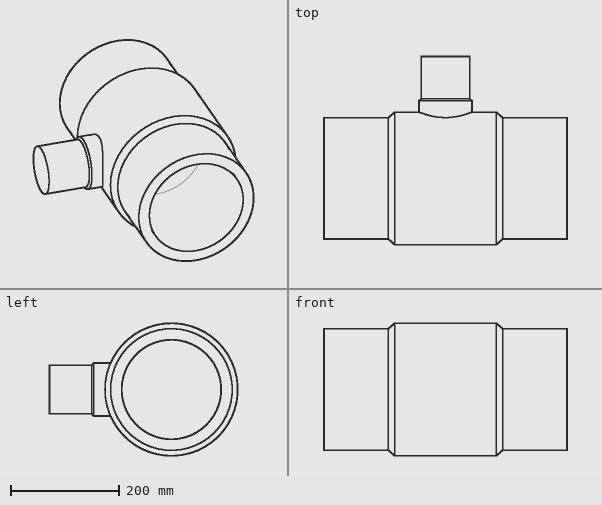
import cadquery as cq

pipe_length = 450.0
pipe_diameter = 225.0
bore_diameter = 183.5

sleeve_diameter = 245.5
sleeve_length = 211.0
sleeve_flat_length = 188.0

branch_diameter = 90.0
overall_depth = 348.8
branch_reach = overall_depth - sleeve_diameter / 2
collar_diameter = 98.5
collar_reach = 143.5
collar_taper_reach = 147.0


def make_run():
    """Solid of revolution about X: pipe and sleeve."""
    pipe_radius = pipe_diameter / 2
    sleeve_radius = sleeve_diameter / 2
    half_length = pipe_length / 2
    half_sleeve = sleeve_length / 2
    half_flat = sleeve_flat_length / 2
    profile = [
        (-half_length, 0),
        (-half_length, pipe_radius),
        (-half_sleeve, pipe_radius),
        (-half_flat, sleeve_radius),
        (half_flat, sleeve_radius),
        (half_sleeve, pipe_radius),
        (half_length, pipe_radius),
        (half_length, 0),
    ]
    return cq.Workplane("XY").polyline(profile).close().revolve(360, (0, 0, 0), (1, 0, 0))


def make_branch():
    """Solid of revolution about Y: collar, short taper and branch pipe."""
    branch_radius = branch_diameter / 2
    collar_radius = collar_diameter / 2
    profile = [
        (0, 0),
        (collar_radius, 0),
        (collar_radius, collar_reach),
        (branch_radius, collar_taper_reach),
        (branch_radius, branch_reach),
        (0, branch_reach),
    ]
    return cq.Workplane("XY").polyline(profile).close().revolve(360, (0, 0, 0), (0, 1, 0))


bore = cq.Workplane("YZ").circle(bore_diameter / 2).extrude(pipe_length / 2, both=True)

result = make_run().union(make_branch()).cut(bore)